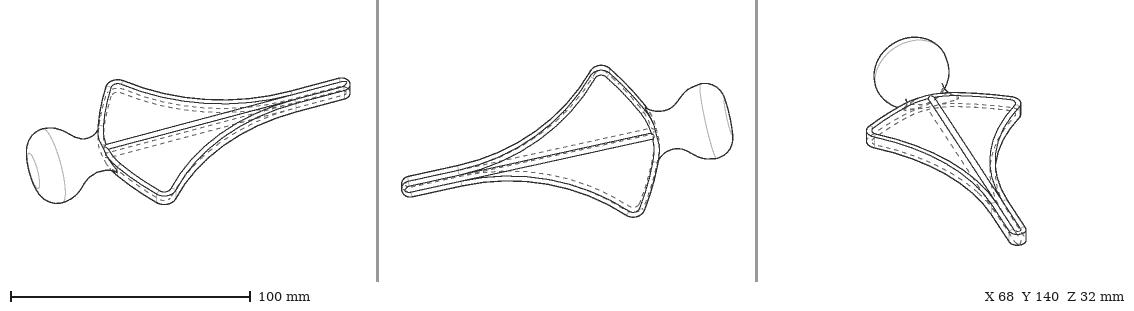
import cadquery as cq
import math

LENGTH = 140.0
BLADE_WIDTH = 68.0
WALL_HEIGHT = 5.5
STEM_HALF_WIDTH = 3.6
STEM_START_Y = 115.0
FLARE_RADIUS = 84.5
CORNER_RADIUS = 5.2
CORNER_CENTER_X = BLADE_WIDTH / 2 - CORNER_RADIUS
BLADE_BASE_Y = 30.4
BASE_CENTER_RADIUS = 30.8
BASE_CENTER_SPAN = 23.0

BEAD_HEIGHT = 0.5
RIM_BEAD_WIDTH = 2.2
CENTER_BEAD_WIDTH = 2.8

KNOB_DIAMETER = 32.0
KNOB_RADIUS = KNOB_DIAMETER / 2
KNOB_ROUND = 8.4
SHOULDER_SECTIONS = [
    (11.3, 15.7, 15.5),
    (14.7, 14.5, 14.0),
    (19.2, 11.0, 10.1),
    (22.4, 9.1, 7.1),
]
NECK_WAIST_Y = 25.3
NECK_WAIST_HALF_WIDTH = 8.7
NECK_WAIST_HALF_HEIGHT = 5.2
NECK_END_Y = 30.0
NECK_END_HALF_HEIGHT = WALL_HEIGHT / 2 + BEAD_HEIGHT
NECK_FLARE_RADIUS = 9.2
NECK_FLARE_TOP_Y = 32.6
BURIED_HALF_HEIGHT = 2.5

FLARE_CENTER_X = STEM_HALF_WIDTH + FLARE_RADIUS
flare_angle = math.acos((FLARE_CENTER_X - CORNER_CENTER_X) / (FLARE_RADIUS + CORNER_RADIUS))
CORNER_CENTER_Y = STEM_START_Y - (FLARE_RADIUS + CORNER_RADIUS) * math.sin(flare_angle)
JOIN_ANGLE = -math.pi / 2 + math.radians(BASE_CENTER_SPAN)
BASE_CENTER_Y = BLADE_BASE_Y + BASE_CENTER_RADIUS
corner_rise = BASE_CENTER_Y - CORNER_CENTER_Y
radius_gap = BASE_CENTER_RADIUS - CORNER_RADIUS
toward_side_center = CORNER_CENTER_X * math.cos(JOIN_ANGLE) - corner_rise * math.sin(JOIN_ANGLE)
center_distance_squared = CORNER_CENTER_X**2 + corner_rise**2
BASE_SIDE_OFFSET = (center_distance_squared - radius_gap**2) / (2 * (radius_gap - toward_side_center))
BASE_SIDE_RADIUS = BASE_CENTER_RADIUS + BASE_SIDE_OFFSET
BASE_SIDE_CENTER_X = -BASE_SIDE_OFFSET * math.cos(JOIN_ANGLE)
BASE_SIDE_CENTER_Y = BASE_CENTER_Y - BASE_SIDE_OFFSET * math.sin(JOIN_ANGLE)
base_angle = math.atan2(CORNER_CENTER_Y - BASE_SIDE_CENTER_Y, CORNER_CENTER_X - BASE_SIDE_CENTER_X)


def polar(center_x, center_y, radius, angle):
    return (center_x + radius * math.cos(angle), center_y + radius * math.sin(angle))


def mirrored(point):
    return (-point[0], point[1])


def blade_outline():
    """Closed tangent outline, starting at the stem's right side."""
    stem_top = (STEM_HALF_WIDTH, LENGTH - STEM_HALF_WIDTH)
    stem_end = (STEM_HALF_WIDTH, STEM_START_Y)
    flare_mid = polar(FLARE_CENTER_X, STEM_START_Y, FLARE_RADIUS, math.pi + flare_angle / 2)
    flare_end = polar(FLARE_CENTER_X, STEM_START_Y, FLARE_RADIUS, math.pi + flare_angle)
    corner_mid = polar(CORNER_CENTER_X, CORNER_CENTER_Y, CORNER_RADIUS, (flare_angle + base_angle) / 2)
    base_end = polar(CORNER_CENTER_X, CORNER_CENTER_Y, CORNER_RADIUS, base_angle)
    side_angle = (base_angle + JOIN_ANGLE) / 2
    side_mid = polar(BASE_SIDE_CENTER_X, BASE_SIDE_CENTER_Y, BASE_SIDE_RADIUS, side_angle)
    join = polar(0, BASE_CENTER_Y, BASE_CENTER_RADIUS, JOIN_ANGLE)
    return (
        cq.Workplane("XY")
        .moveTo(*stem_top)
        .lineTo(*stem_end)
        .threePointArc(flare_mid, flare_end)
        .threePointArc(corner_mid, base_end)
        .threePointArc(side_mid, join)
        .threePointArc((0, BLADE_BASE_Y), mirrored(join))
        .threePointArc(mirrored(side_mid), mirrored(base_end))
        .threePointArc(mirrored(corner_mid), mirrored(flare_end))
        .threePointArc(mirrored(flare_mid), mirrored(stem_end))
        .lineTo(*mirrored(stem_top))
        .threePointArc((0, LENGTH), stem_top)
        .close()
    )


def bead_profile(center_x, plane_y, width):
    """Low circular segment lying on the plate's top face, in an XZ section."""
    return (
        cq.Workplane("XZ", origin=(center_x, plane_y, WALL_HEIGHT / 2))
        .moveTo(-width / 2, 0)
        .threePointArc((0, BEAD_HEIGHT), (width / 2, 0))
        .close()
    )


def top_beads():
    """Bead around the rim and a straight one along the centre line."""
    stem_top_y = LENGTH - STEM_HALF_WIDTH
    rim = bead_profile(STEM_HALF_WIDTH - RIM_BEAD_WIDTH / 2, stem_top_y, RIM_BEAD_WIDTH).sweep(
        blade_outline().translate((0, 0, WALL_HEIGHT / 2))
    )
    center_end_y = LENGTH - RIM_BEAD_WIDTH / 2
    center_length = center_end_y - BLADE_BASE_Y - RIM_BEAD_WIDTH / 2
    center = bead_profile(0, center_end_y, CENTER_BEAD_WIDTH).extrude(center_length)
    return rim.union(center)


def knob():
    """Flat-ended round knob, up to its widest circle."""
    face_radius = KNOB_RADIUS - KNOB_ROUND
    diagonal = KNOB_ROUND * math.sqrt(0.5)
    return (
        cq.Workplane("XY")
        .lineTo(face_radius, 0)
        .threePointArc((face_radius + diagonal, KNOB_ROUND - diagonal), (KNOB_RADIUS, KNOB_ROUND))
        .lineTo(0, KNOB_ROUND)
        .close()
        .revolve(360, (0, 0), (0, 1))
    )


def neck_half_width(y):
    """Half width of the concave blend between the waist and the blade."""
    run = y - NECK_WAIST_Y
    return NECK_WAIST_HALF_WIDTH + NECK_FLARE_RADIUS - math.sqrt(NECK_FLARE_RADIUS**2 - run**2)


def neck_section(y, half_width, half_height):
    """Elliptical wire across the neck."""
    major = max(half_width, half_height)
    minor = min(half_width, half_height)
    center = cq.Vector(0, y, 0)
    return cq.Wire.makeEllipse(major, minor, center, cq.Vector(0, 1, 0), cq.Vector(1, 0, 0))


def neck():
    """Round at the knob, then flattening and flaring out until it is buried in the blade."""
    sections = [
        neck_section(KNOB_ROUND, KNOB_RADIUS, KNOB_RADIUS),
        *[neck_section(*shoulder) for shoulder in SHOULDER_SECTIONS],
        neck_section(NECK_WAIST_Y, NECK_WAIST_HALF_WIDTH, NECK_WAIST_HALF_HEIGHT),
        neck_section(NECK_END_Y, neck_half_width(NECK_END_Y), NECK_END_HALF_HEIGHT),
        neck_section(NECK_FLARE_TOP_Y, neck_half_width(NECK_FLARE_TOP_Y), BURIED_HALF_HEIGHT),
    ]
    return cq.Workplane(obj=cq.Solid.makeLoft(sections))


beads = top_beads()
plate = blade_outline().extrude(WALL_HEIGHT / 2, both=True)
result = plate.union(beads).union(beads.mirror("XY")).union(neck()).union(knob())